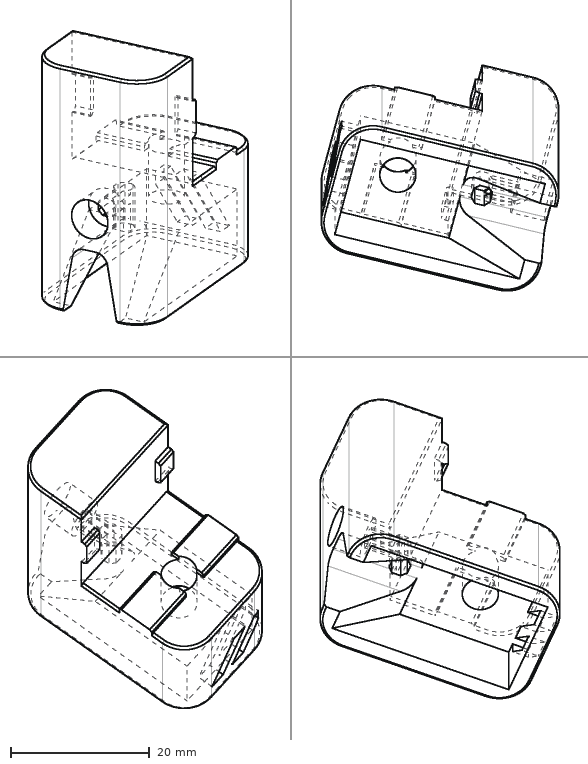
import math

import cadquery as cq

width = 20.0
depth = 32.5
height = 38.5
base_height = 18.48
tower_depth = 12.5
corner_radius = 5.0
edge_chamfer = 0.4

pad_offset = 10.0
pad_length = 6.0
pad_rise = 1.0
pad_gap = 4.0
wall_pad_width = 3.0
pad_lower_chamfer = 0.6

platform_hole_diameter = 5.2
front_bore_diameter = 6.0
front_bore_depth = 5.0
bore_z = 15.48
duct_size = 2.8
duct_bevel = 0.75
duct_turn_depth = 10.0

slot_bottom_width = 8.95
slot_height = 10.5
slot_side_angle = 10.0
slot_corner_radius = 2.0

wall = 2.5
chamber_height = slot_height
chamber_width = width - 2 * wall

vent_bottom_z = 3.25
vent_width = 2.55
vent_field_width = 12.0
vent_pitch = 4.65
vent_angle = 55.3
first_vent_x = -2.43
vent_count = 2

front_y = -depth / 2
rear_y = depth / 2
step_y = front_y + tower_depth
hole_y = step_y + pad_offset
wall_pad_z = base_height + pad_offset


def box(x_min, x_max, y_min, y_max, z_min, z_max):
    """Axis-aligned box given by its limits."""
    size = (x_max - x_min, y_max - y_min, z_max - z_min)
    return cq.Workplane("XY").box(*size, centered=False).translate((x_min, y_min, z_min))


def side_prism(points, x_min, x_max):
    """Extrude a closed (y, z) outline along X."""
    prism = cq.Workplane("YZ").polyline(points).close().extrude(x_max - x_min)
    return prism.translate((x_min, 0, 0))


def make_body():
    """L-shaped block with rounded vertical corners and chamfered rims."""
    block = cq.Workplane("XY").box(width, depth, height, centered=(True, True, False))
    block = block.edges("|Z").fillet(corner_radius)
    step = box(-width, width, step_y, depth, base_height, 2 * height)
    body = block.cut(step)
    body = body.faces("<Z or >Z").edges().chamfer(edge_chamfer)
    platform_point = (0, hole_y, base_height)
    platform_face = body.faces(cq.NearestToPointSelector(platform_point))
    return platform_face.edges("not <Y").chamfer(edge_chamfer)


def platform_pad(x_min, x_max):
    """Pad across the platform, chamfered along its two long upper edges."""
    half = pad_length / 2
    top_z = base_height + pad_rise
    root_z = base_height - edge_chamfer
    outline = [
        (hole_y - half, root_z),
        (hole_y - half, top_z - edge_chamfer),
        (hole_y - half + edge_chamfer, top_z),
        (hole_y + half - edge_chamfer, top_z),
        (hole_y + half, top_z - edge_chamfer),
        (hole_y + half, root_z),
    ]
    return side_prism(outline, x_min, x_max)


def wall_pad(x_min, x_max):
    """Pad on the tower's inner wall, with a larger chamfer underneath."""
    half = pad_length / 2
    tip_y = step_y + pad_rise
    root_y = step_y - edge_chamfer
    outline = [
        (root_y, wall_pad_z - half),
        (tip_y - pad_lower_chamfer, wall_pad_z - half),
        (tip_y, wall_pad_z - half + pad_lower_chamfer),
        (tip_y, wall_pad_z + half - edge_chamfer),
        (tip_y - edge_chamfer, wall_pad_z + half),
        (root_y, wall_pad_z + half),
    ]
    return side_prism(outline, x_min, x_max)


def make_front_slot():
    """Tapered tunnel with a rounded top, running into the chamber."""
    half_bottom = slot_bottom_width / 2
    half_top = half_bottom - slot_height * math.tan(math.radians(slot_side_angle))
    length = wall + chamber_height
    slot = (
        cq.Workplane("XZ", origin=(0, front_y, 0))
        .polyline([
            (-half_bottom, 0),
            (half_bottom, 0),
            (half_top, slot_height),
            (-half_top, slot_height),
        ])
        .close()
        .extrude(-length)
    )
    return slot.edges("|Y and >Z").fillet(slot_corner_radius)


def make_chamber():
    """Chamber open at the bottom, with a 45 degree sloping front."""
    chamber_front = front_y + wall
    chamber_rear = rear_y - wall
    outline = [
        (chamber_front, 0),
        (chamber_rear, 0),
        (chamber_rear, chamber_height),
        (chamber_front + chamber_height, chamber_height),
    ]
    return side_prism(outline, -chamber_width / 2, chamber_width / 2)


def make_vents():
    """Parallel slanted slits through the rear wall."""
    rise = chamber_height - vent_bottom_z
    lean = rise / math.tan(math.radians(vent_angle))
    vents = cq.Workplane("XZ", origin=(0, rear_y, 0))
    for index in range(vent_count):
        left = first_vent_x + index * vent_pitch
        vents = vents.polyline([
            (left, vent_bottom_z),
            (left + vent_width, vent_bottom_z),
            (left + vent_width - lean, chamber_height),
            (left - lean, chamber_height),
        ]).close()
    limits = box(-vent_field_width / 2, vent_field_width / 2, front_y, rear_y, 0, chamber_height)
    return vents.extrude(wall).intersect(limits)


def octagon_duct(plane, origin, length):
    """Octagonal prism: a square one with bevelled edges, extruded from the given plane."""
    duct = cq.Workplane(plane, origin=origin).rect(duct_size, duct_size).extrude(length)
    long_edges = "|Y" if plane == "XZ" else "|Z"
    return duct.edges(long_edges).chamfer(duct_bevel)


def make_front_bore():
    """Round bore continued by an octagonal duct that turns down into the chamber."""
    bore = cq.Workplane("XZ", origin=(0, front_y, bore_z)).circle(front_bore_diameter / 2)
    turn_y = front_y + duct_turn_depth
    drop_top = bore_z + duct_size / 2
    across = octagon_duct("XZ", (0, front_y, bore_z), -duct_turn_depth)
    down = octagon_duct("XY", (0, turn_y, drop_top), -drop_top)
    return bore.extrude(-front_bore_depth).union(across).union(down)


def make_platform_hole():
    """Vertical through hole between the platform pads."""
    return cq.Workplane("XY", origin=(0, hole_y, 0)).circle(platform_hole_diameter / 2).extrude(height)


half_width = width / 2
result = make_body()
result = result.union(platform_pad(-half_width, -pad_gap / 2))
result = result.union(platform_pad(pad_gap / 2, half_width))
result = result.union(wall_pad(-half_width, wall_pad_width - half_width))
result = result.union(wall_pad(half_width - wall_pad_width, half_width))
result = result.cut(make_chamber())
result = result.cut(make_front_slot())
result = result.cut(make_vents())
result = result.cut(make_front_bore())
result = result.cut(make_platform_hole())